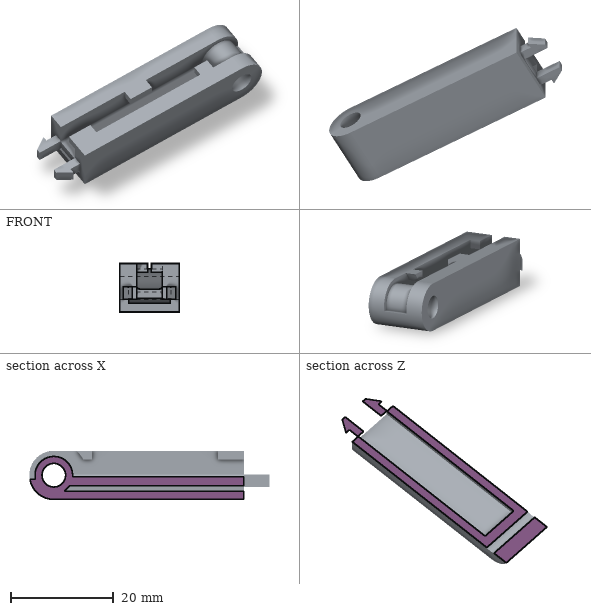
import cadquery as cq

WIDTH = 11.6
HEIGHT = 9.5
BODY_LENGTH = 41.7

CHANNEL_WIDTH = 4.9
FLOOR_TOP = 4.5
REAR_FLOOR_TOP = 4.0
FLOOR_FILLET = 0.45

DRUM_RADIUS = 3.7
PIVOT_HOLE_DIAMETER = 4.5
CLEARANCE_RADIUS = 6.5

TAB_REACH = 2.1
TAB_THICKNESS = 1.7

TUNNEL_WIDTH = 8.0
TUNNEL_BOTTOM = 1.7
TUNNEL_TOP = 2.7

ARM_LENGTH = 5.0
ARM_THICKNESS = 1.7
ARM_BOTTOM = 2.5
ARM_TOP = 4.9
BARB_START = 2.25
BARB_REACH = 2.7
TIP_THICKNESS = 0.9

TABS = [
    (1, 0.0, 5.0),
    (-1, 15.0, 20.0),
    (1, 29.5, 33.0),
]

END_RADIUS = HEIGHT / 2
PIVOT_Y = BODY_LENGTH - END_RADIUS
PIVOT_Z = END_RADIUS
CHANNEL_HALF = CHANNEL_WIDTH / 2


def box(x_range, y_range, z_range):
    """Box spanning the given (low, high) limits on each axis."""
    limits = (x_range, y_range, z_range)
    size = [high - low for low, high in limits]
    corner = tuple(low for low, high in limits)
    return cq.Workplane("XY").box(*size, centered=False).translate(corner)


def pivot_cylinder(radius, length):
    """Cylinder along X on the pivot axis, centred across the width."""
    return cq.Workplane("YZ").center(PIVOT_Y, PIVOT_Z).circle(radius).extrude(length / 2, both=True)


def make_body():
    """Bar with a full-round rear end."""
    return (
        cq.Workplane("YZ")
        .lineTo(PIVOT_Y, 0)
        .threePointArc((BODY_LENGTH, PIVOT_Z), (PIVOT_Y, HEIGHT))
        .lineTo(0, HEIGHT)
        .close()
        .extrude(WIDTH / 2, both=True)
    )


def make_channel():
    """Cutter for the open channel, with rounded lower edges."""
    channel = box((-CHANNEL_HALF, CHANNEL_HALF), (0, BODY_LENGTH), (FLOOR_TOP, HEIGHT))
    return channel.edges("|Y and <Z").fillet(FLOOR_FILLET)


def make_rear_recess():
    """Cutter that lowers the channel floor behind the drum, with square corners."""
    return box((-CHANNEL_HALF, CHANNEL_HALF), (PIVOT_Y, BODY_LENGTH), (REAR_FLOOR_TOP, HEIGHT))


def make_tunnel():
    """Cutter for the flat tunnel, ending against the drum surface."""
    half_width = TUNNEL_WIDTH / 2
    tunnel = box((-half_width, half_width), (0, PIVOT_Y), (TUNNEL_BOTTOM, TUNNEL_TOP))
    return tunnel.cut(pivot_cylinder(DRUM_RADIUS, WIDTH))


def make_tab(side, y_near, y_far):
    """Retaining tab flush with the top, clear of the pivot swing, reaching in from one wall."""
    x_range = sorted((side * CHANNEL_HALF, side * (CHANNEL_HALF - TAB_REACH)))
    tab = box(x_range, (y_near, y_far), (HEIGHT - TAB_THICKNESS, HEIGHT))
    return tab.cut(pivot_cylinder(CLEARANCE_RADIUS, CHANNEL_WIDTH))


def make_right_arm():
    """Snap arm with an outward barb, flush with the right channel wall."""
    outline = [
        (0, 0),
        (ARM_THICKNESS, 0),
        (ARM_THICKNESS, -BARB_START),
        (BARB_REACH, -BARB_START),
        (TIP_THICKNESS, -ARM_LENGTH),
        (0, -ARM_LENGTH),
    ]
    arm = cq.Workplane("XY").polyline(outline).close().extrude(ARM_TOP - ARM_BOTTOM)
    return arm.translate((CHANNEL_HALF, 0, ARM_BOTTOM))


result = make_body().cut(make_channel()).cut(make_rear_recess())
result = result.union(pivot_cylinder(DRUM_RADIUS, CHANNEL_WIDTH))
result = result.cut(make_tunnel())
result = result.cut(pivot_cylinder(PIVOT_HOLE_DIAMETER / 2, WIDTH))

for side, y_near, y_far in TABS:
    result = result.union(make_tab(side, y_near, y_far))

right_arm = make_right_arm()
result = result.union(right_arm).union(right_arm.mirror("YZ"))